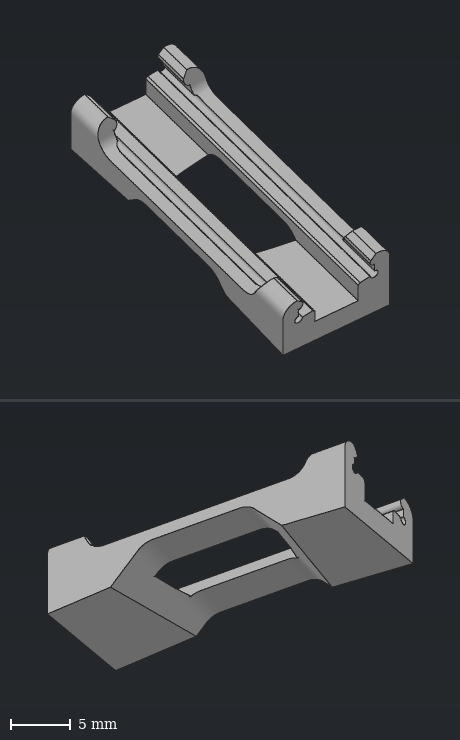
import cadquery as cq
import math

LENGTH = 28.87
WIDTH = 11.4
HEIGHT = 7.74

LEDGE_Z = HEIGHT - 2.53
RAIL_UNDERSIDE_Z = HEIGHT - 3.82

CLIP_RADIUS = 1.4
NOSE_FLAT_END = 1.5
NOSE_TIP_OFFSET = 2.05
NOSE_LEAD_IN = NOSE_TIP_OFFSET - NOSE_FLAT_END
NOSE_MID_OFFSET = 2.09
NOSE_MID_DROP = 0.95
NOSE_END_DROP = 1.32
WALL_THICKNESS = 1.64
GROOVE_OFFSET = 1.67
GROOVE_RADIUS = 0.4

CHANNEL_WIDTH = 4.62
CHANNEL_CHAMFER = 0.2
CROSS_SLOPE = 0.15
FLOOR_MID_Z = HEIGHT - 4.4

CLIP_TOP_LENGTH = 3.18
CLIP_END_ANGLE = 65
CLIP_END_FILLET = 1.75

RAMP_ANGLE = 47
RAMP_CORNER_INSET = 9.37
RAMP_FILLET = 2.0

END_RISE_ANGLE = 4.15

CLEARANCE = 2.0


def clip_wall(side):
    """Clip wall on one side (+1 or -1), with a rounded back and an inward nose."""

    def at(offset, drop):
        return side * (WIDTH / 2 - offset), HEIGHT - drop

    back_offset = CLIP_RADIUS * (1 - math.cos(math.pi / 4))
    profile = (
        cq.Workplane("YZ", origin=(-LENGTH / 2, 0, 0))
        .moveTo(*at(0, HEIGHT - LEDGE_Z))
        .lineTo(*at(0, CLIP_RADIUS))
        .threePointArc(at(back_offset, back_offset), at(CLIP_RADIUS, 0))
        .lineTo(*at(NOSE_FLAT_END, 0))
        .lineTo(*at(NOSE_TIP_OFFSET, NOSE_LEAD_IN))
        .threePointArc(at(NOSE_MID_OFFSET, NOSE_MID_DROP), at(WALL_THICKNESS, NOSE_END_DROP))
        .lineTo(*at(WALL_THICKNESS, HEIGHT - LEDGE_Z))
        .close()
    )
    return profile.extrude(LENGTH)


def groove(side):
    """Round relief groove in the corner between a clip wall and its ledge."""
    return (
        cq.Workplane("YZ", origin=(-LENGTH / 2, 0, 0))
        .center(side * (WIDTH / 2 - GROOVE_OFFSET), LEDGE_Z)
        .circle(GROOVE_RADIUS)
        .extrude(LENGTH)
    )


def channel():
    """Central channel with a sloping floor and chamfered upper edges."""
    half = CHANNEL_WIDTH / 2
    floor_rise = half * CROSS_SLOPE
    profile = [
        (-half, FLOOR_MID_Z + floor_rise),
        (-half, LEDGE_Z - CHANNEL_CHAMFER),
        (-half - CHANNEL_CHAMFER, LEDGE_Z),
        (half + CHANNEL_CHAMFER, LEDGE_Z),
        (half, LEDGE_Z - CHANNEL_CHAMFER),
        (half, FLOOR_MID_Z - floor_rise),
    ]
    return cq.Workplane("YZ", origin=(-LENGTH / 2, 0, 0)).polyline(profile).close().extrude(LENGTH)


def clip_gap():
    """Flared opening that parts the clip walls into four end clips."""
    run_per_rise = 1 / math.tan(math.radians(CLIP_END_ANGLE))
    top_z = HEIGHT + CLEARANCE
    half_floor = LENGTH / 2 - CLIP_TOP_LENGTH - (HEIGHT - LEDGE_Z) * run_per_rise
    half_top = half_floor + (top_z - LEDGE_Z) * run_per_rise
    outline = [(-half_floor, LEDGE_Z), (half_floor, LEDGE_Z), (half_top, top_z), (-half_top, top_z)]
    gap = cq.Workplane("XZ").polyline(outline).close().extrude(WIDTH / 2 + CLEARANCE, both=True)
    return gap.edges("|Y").edges("<Z").fillet(CLIP_END_FILLET)


def arch():
    """Flared opening below the rails, through the channel floor and the base."""
    half_top = LENGTH / 2 - RAMP_CORNER_INSET
    half_bottom = half_top + (RAIL_UNDERSIDE_Z + CLEARANCE) / math.tan(math.radians(RAMP_ANGLE))
    outline = [
        (-half_top, RAIL_UNDERSIDE_Z),
        (half_top, RAIL_UNDERSIDE_Z),
        (half_bottom, -CLEARANCE),
        (-half_bottom, -CLEARANCE),
    ]
    opening = cq.Workplane("XZ").polyline(outline).close().extrude(WIDTH / 2 + CLEARANCE, both=True)
    return opening.edges("|Y").edges(">Z").fillet(RAMP_FILLET)


def body():
    """Full-length body below the ledges, its base sloping across Y and rising toward mid-length."""
    half_width = WIDTH / 2
    end_profile = [
        (half_width, 0),
        (-half_width, WIDTH * CROSS_SLOPE),
        (-half_width, LEDGE_Z),
        (half_width, LEDGE_Z),
    ]
    block = cq.Workplane("YZ", origin=(-LENGTH / 2, 0, 0)).polyline(end_profile).close().extrude(LENGTH)
    mid_rise = LENGTH / 2 * math.tan(math.radians(END_RISE_ANGLE))
    ridge_profile = [
        (-LENGTH / 2, 0),
        (0, mid_rise),
        (LENGTH / 2, 0),
        (LENGTH / 2, -CLEARANCE),
        (-LENGTH / 2, -CLEARANCE),
    ]
    sweep_path = cq.Edge.makeLine(
        cq.Vector(0, half_width, 0),
        cq.Vector(0, -half_width, WIDTH * CROSS_SLOPE),
    )
    ridge = (
        cq.Workplane("XZ", origin=(0, half_width, 0))
        .polyline(ridge_profile)
        .close()
        .sweep(cq.Workplane(obj=cq.Wire.assembleEdges([sweep_path])))
    )
    return block.cut(ridge)


result = body()
for side in (1, -1):
    result = result.union(clip_wall(side))
result = result.cut(clip_gap()).cut(arch()).cut(channel())
for side in (1, -1):
    result = result.cut(groove(side))
result = cq.Workplane(obj=result.solids().val())